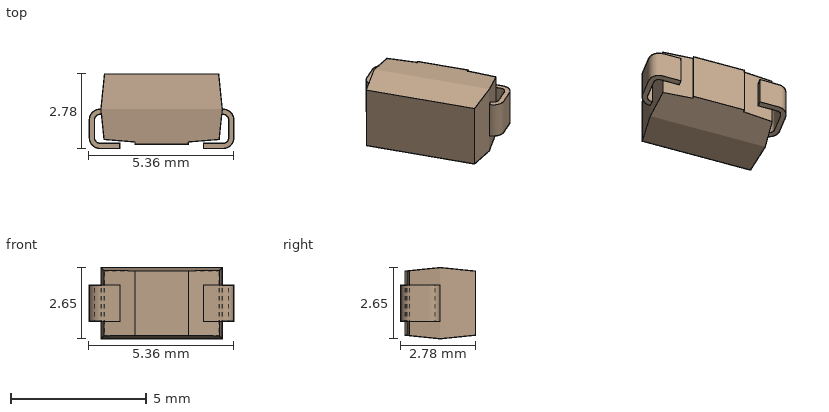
import cadquery as cq

body_length = 4.5
body_height = 2.65
half_depth = 1.31
draft_inset = 0.135

pad_length = 1.985
relief_depth_at_pad = 0.085
relief_depth_at_end = 0.175

overall_length = 5.36
lead_width = 1.34
lead_thickness = 0.2
lead_depth = 1.465
bend_radius = 0.4
foot_length = 1.135
lead_embedment = 0.16


def body_half(direction):
    """Tapered half of the body, growing from Y = 0 toward +Y (1) or -Y (-1)."""
    base_plane = cq.Plane(origin=(0, 0, 0), xDir=(1, 0, 0), normal=(0, direction, 0))
    return (
        cq.Workplane(base_plane)
        .rect(body_length, body_height)
        .workplane(offset=half_depth)
        .rect(body_length - 2 * draft_inset, body_height - 2 * draft_inset)
        .loft(combine=True)
    )


def relief_cutter(side):
    """Wedge that removes the -Y face between the pad and one end of the body."""
    end_x = body_length / 2 - draft_inset
    slope = (relief_depth_at_end - relief_depth_at_pad) / (end_x - pad_length / 2)
    outer_x = body_length / 2
    outer_depth = relief_depth_at_end + slope * draft_inset
    profile = [
        (side * pad_length / 2, -half_depth),
        (side * pad_length / 2, -half_depth + relief_depth_at_pad),
        (side * outer_x, -half_depth + outer_depth),
        (side * outer_x, -half_depth),
    ]
    return cq.Workplane("XY").polyline(profile).close().extrude(body_height / 2, both=True)


def right_lead():
    """C-shaped lead on the +X end, with its foot folded back under the body."""
    outer_x = overall_length / 2
    root_x = body_length / 2 - lead_embedment
    foot_x = outer_x - foot_length
    inner_x = outer_x - lead_thickness
    inner_radius = bend_radius - lead_thickness
    return (
        cq.Workplane("XY")
        .workplane(offset=-lead_width / 2)
        .moveTo(root_x, 0)
        .lineTo(outer_x - bend_radius, 0)
        .radiusArc((outer_x, -bend_radius), bend_radius)
        .lineTo(outer_x, -lead_depth + bend_radius)
        .radiusArc((outer_x - bend_radius, -lead_depth), bend_radius)
        .lineTo(foot_x, -lead_depth)
        .lineTo(foot_x, -lead_depth + lead_thickness)
        .lineTo(outer_x - bend_radius, -lead_depth + lead_thickness)
        .radiusArc((inner_x, -lead_depth + bend_radius), -inner_radius)
        .lineTo(inner_x, -bend_radius)
        .radiusArc((outer_x - bend_radius, -lead_thickness), -inner_radius)
        .lineTo(root_x, -lead_thickness)
        .close()
        .extrude(lead_width)
    )


body = body_half(1).union(body_half(-1))
for side in (-1, 1):
    body = body.cut(relief_cutter(side))

lead = right_lead()
result = body.union(lead).union(lead.mirror("YZ"))